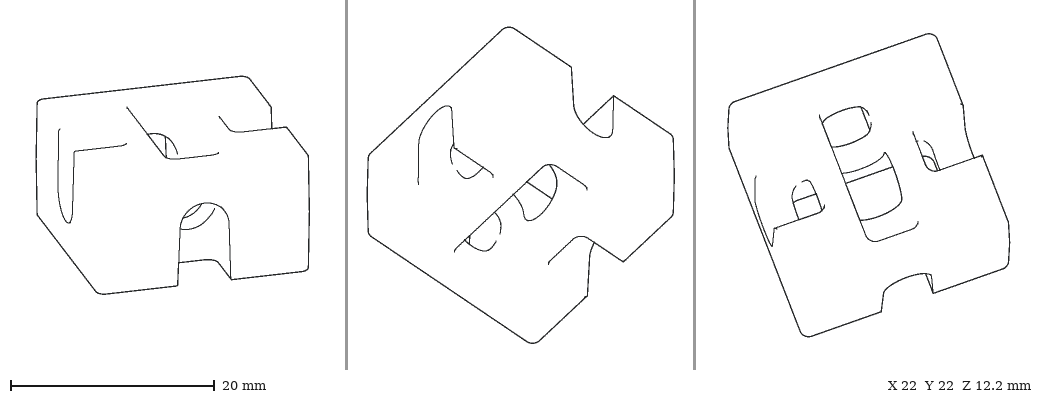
import cadquery as cq

width = 21.98
half_height = 6.09
corner_radius = 1.01
outer_draft = 1.0
recess_draft = 2.0
edge_radius = 0.25

bore_diameter = 5.01
pocket_length = 14.55
notch_inner_offset = 5.52
recess_corner_radius = 0.8

recess_width = bore_diameter
notch_outer_offset = width


def drafted_prism(length_x, length_y, center_y, radius, draft):
    """Round-cornered prism rising from the parting plane; a negative draft widens it upward."""
    outline = cq.Sketch().rect(length_x, length_y).vertices().fillet(radius)
    return (
        cq.Workplane("XY")
        .center(0, center_y)
        .placeSketch(outline)
        .extrude(half_height, taper=draft)
    )


def recess(length_x, length_y, center_y=0):
    return drafted_prism(length_x, length_y, center_y, recess_corner_radius, -recess_draft)


def bore(plane):
    return cq.Workplane(plane).circle(bore_diameter / 2).extrude(width, both=True)


def block_half():
    """Upper half: a pocket along X in the middle, a notch open to each Y side, and both bores."""
    half = drafted_prism(width, width, 0, corner_radius, outer_draft)
    half = half.cut(recess(pocket_length, recess_width))

    notch_length = notch_outer_offset - notch_inner_offset
    notch_center = (notch_outer_offset + notch_inner_offset) / 2
    for side in (-1, 1):
        half = half.cut(recess(recess_width, notch_length, side * notch_center))

    half = half.faces(">Z").edges().fillet(edge_radius)
    for bore_plane in ("YZ", "XZ"):
        half = half.cut(bore(bore_plane))
    return half


upper_half = block_half()
lower_half = upper_half.rotate((0, 0, 0), (1, 1, 0), 180)

result = upper_half.union(lower_half)